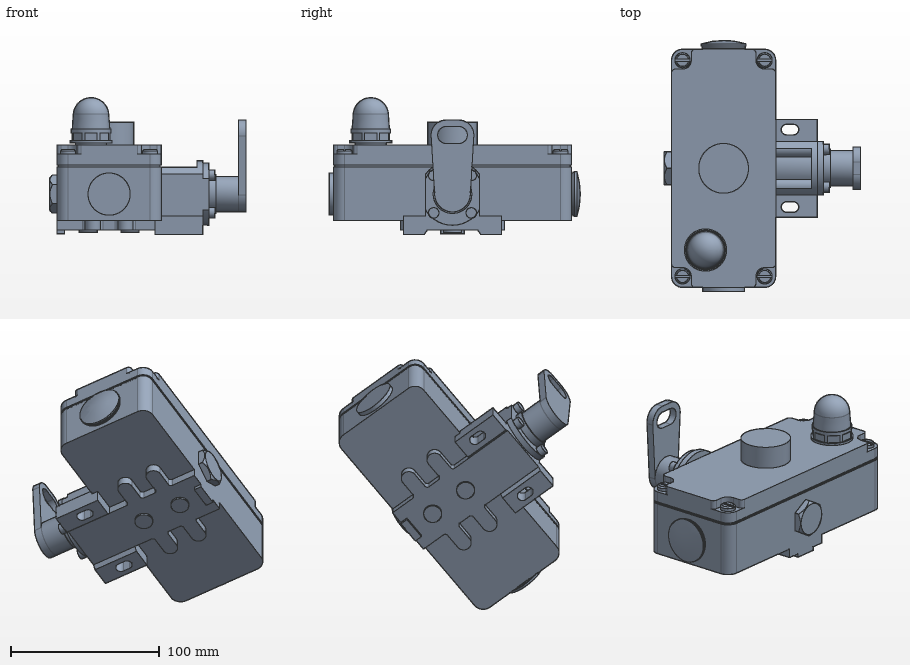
import cadquery as cq
import math

BOX_WIDTH = 70.0
BOX_LENGTH = 160.0
CORNER_RADIUS = 7.5
BASE_TOP = 36.1
LID_BOTTOM = 37.3
LID_TOP = 51.0
SEAM_INSET = 0.8

NOTCH_RADIUS = 5.9
NOTCH_FLOOR = 44.9
NOTCH_MOUTH_RADIUS = 2.7
SCREW_RADIUS = 5.0
SCREW_HEIGHT = 3.0
SCREW_CHAMFER = 1.0
SCREW_SLOT_WIDTH = 1.5
SCREW_SLOT_DEPTH = 1.2

BUTTON_RADIUS = 16.7
BUTTON_HEIGHT = 15.2
LAMP_X, LAMP_Y = -12.2, -54.9
LAMP_STEM_RADIUS, LAMP_STEM_TOP = 10.5, 52.3
LAMP_WASHER_RADIUS, LAMP_WASHER_TOP = 14.2, 53.8
LAMP_RING_RADIUS = 13.3
LAMP_NUT_TOP, LAMP_RING_TOP = 58.9, 61.5
LAMP_NUT_FLATS = 25.3
LENS_FOOT_RADIUS = 12.7
DOME_RADIUS = 12.0
DOME_CENTRE_Z = 70.7

AXIS_Z = 17.9
PLUG_RADIUS = 14.2
PLUG_HEIGHT = 2.9
CAP_NECK_RADIUS, CAP_NECK_HEIGHT = 14.2, 0.8
CAP_SEAL_RADIUS, CAP_SEAL_HEIGHT = 14.7, 2.0
CAP_RIM_RADIUS, CAP_RIM_HEIGHT = 15.2, 3.5
CAP_HEIGHT = 5.9
HEX_FLATS = 22.3
HEX_HEIGHT = 5.0
HEX_CHAMFER = 2.0
HEX_FACE_RADIUS = 10.8

HOUSING_RADIUS = 22.5
HOUSING_HALF_WIDTH = 18.0
HOUSING_END = 63.0
POCKET_END = 58.9
POCKET_HALF_WIDTH = 14.0
POCKET_CORE_RADIUS = 16.0
SCREW_OFFSET = 12.7
SCREW_BOSS_RADIUS = 5.4
FLANGE_RADIUS = 21.0
FLANGE_END = 67.0
FLANGE_SCREW_RADIUS = 3.5
FLANGE_SCREW_END = 71.0
COLLAR_RADIUS = 13.0
COLLAR_END = 71.9
SHAFT_RADIUS = 12.0

LEVER_START = 86.8
LEVER_END = 92.0
LEVER_EYE_Z = 57.5
LEVER_EYE_OFFSET = 4.2
LEVER_CORNER_RADIUS = 10.1
LEVER_SLOT_RADIUS = 5.7

PLATE_HALF_WIDTH = 16.9
PLATE_DEPTH = 6.2
TONGUE_WIDTH = 15.9
TONGUE_LENGTH = 5.2
TONGUE_DEPTH = 8.8
FOOT_X = 11.0
FOOT_RADIUS = 5.0
FOOT_REACH = 35.0
FOOT_FILLET = 1.9
DISC_X = 14.0
DISC_RADIUS = 6.0
DISC_DEPTH = 7.8
BLOCK_START = 30.7
BLOCK_HALF_WIDTH = 32.9
BLOCK_TOP = 3.2
BLOCK_DEPTH = 9.3
CHANNEL_FLARE = 2.0
MOUNT_SLOT_X = 44.5
MOUNT_SLOT_Y = 26.0
MOUNT_SLOT_LENGTH = 11.6
MOUNT_SLOT_WIDTH = 7.0

HALF_BOX_WIDTH = BOX_WIDTH / 2
HALF_BOX_LENGTH = BOX_LENGTH / 2


def block(x_range, y_range, z_range):
    """Axis-aligned box given by its limits."""
    sizes = [high - low for low, high in (x_range, y_range, z_range)]
    corner = (x_range[0], y_range[0], z_range[0])
    return cq.Workplane("XY").box(*sizes, centered=False).translate(corner)


def disc(x, y, radius, bottom, top):
    """Upright cylinder."""
    return cq.Workplane("XY", origin=(x, y, bottom)).circle(radius).extrude(top - bottom)


def axial(radius, start, end, y=0, z=0):
    """Cylinder along X; y and z are measured from the shaft axis."""
    plane = cq.Workplane("YZ", origin=(start, y, AXIS_Z + z))
    return plane.circle(radius).extrude(end - start)


def rounded_box(inset, bottom, top):
    """Slice of the enclosure with its outline moved inwards by an inset."""
    plane = cq.Workplane("XY", origin=(0, 0, bottom))
    outline = plane.rect(BOX_WIDTH - 2 * inset, BOX_LENGTH - 2 * inset)
    return outline.extrude(top - bottom).edges("|Z").fillet(CORNER_RADIUS - inset)


def corner_notch(side_x, side_y):
    """Cut-out around one lid screw, with a rounded corner and flared mouths."""
    reach = CORNER_RADIUS + NOTCH_RADIUS
    mouth = reach + NOTCH_MOUTH_RADIUS
    bulge = NOTCH_MOUTH_RADIUS * math.sqrt(0.5)
    bend = NOTCH_RADIUS * math.sqrt(0.5)
    outline = (
        cq.Workplane("XY")
        .moveTo(0, 0)
        .lineTo(mouth, 0)
        .threePointArc((mouth - bulge, NOTCH_MOUTH_RADIUS - bulge), (reach, NOTCH_MOUTH_RADIUS))
        .lineTo(reach, CORNER_RADIUS)
        .threePointArc((CORNER_RADIUS + bend, CORNER_RADIUS + bend), (CORNER_RADIUS, reach))
        .lineTo(NOTCH_MOUTH_RADIUS, reach)
        .threePointArc((NOTCH_MOUTH_RADIUS - bulge, mouth - bulge), (0, mouth))
        .close()
    )
    notch = outline.extrude(LID_TOP - NOTCH_FLOOR)
    notch = notch.translate((-HALF_BOX_WIDTH, -HALF_BOX_LENGTH, NOTCH_FLOOR))
    if side_x > 0:
        notch = notch.mirror("YZ")
    if side_y > 0:
        notch = notch.mirror("XZ")
    return notch


def lid_screw(side_x, side_y):
    """Chamfered, slotted screw head standing on a notch floor."""
    x = side_x * (HALF_BOX_WIDTH - CORNER_RADIUS)
    y = side_y * (HALF_BOX_LENGTH - CORNER_RADIUS)
    head_top = NOTCH_FLOOR + SCREW_HEIGHT
    head = disc(x, y, SCREW_RADIUS, NOTCH_FLOOR, head_top).faces(">Z").chamfer(SCREW_CHAMFER)
    slot = block(
        (x - SCREW_RADIUS, x + SCREW_RADIUS),
        (y - SCREW_SLOT_WIDTH / 2, y + SCREW_SLOT_WIDTH / 2),
        (head_top - SCREW_SLOT_DEPTH, head_top),
    )
    return head.cut(slot)


def enclosure():
    """Base and lid with a seam groove, four notches and four screws."""
    body = rounded_box(0, 0, BASE_TOP)
    body = body.union(rounded_box(SEAM_INSET, BASE_TOP, LID_BOTTOM))
    body = body.union(rounded_box(0, LID_BOTTOM, LID_TOP))
    for side_x in (-1, 1):
        for side_y in (-1, 1):
            body = body.cut(corner_notch(side_x, side_y))
            body = body.union(lid_screw(side_x, side_y))
    return body


def lamp():
    """Stem, washer, eight-sided nut, ring and a tapered lens ending in a dome."""
    stem = disc(0, 0, LAMP_STEM_RADIUS, LID_TOP, LAMP_STEM_TOP)
    washer = disc(0, 0, LAMP_WASHER_RADIUS, LAMP_STEM_TOP, LAMP_WASHER_TOP)
    ring = disc(0, 0, LAMP_RING_RADIUS, LAMP_NUT_TOP, LAMP_RING_TOP)
    sides = 8
    octagon = cq.Workplane("XY", origin=(0, 0, LAMP_WASHER_TOP)).transformed(rotate=(0, 0, 180 / sides))
    octagon = octagon.polygon(sides, LAMP_NUT_FLATS / math.cos(math.pi / sides))
    nut = octagon.extrude(LAMP_NUT_TOP - LAMP_WASHER_TOP)
    nut = nut.intersect(disc(0, 0, LAMP_RING_RADIUS, LAMP_WASHER_TOP, LAMP_NUT_TOP))

    foot_drop = DOME_CENTRE_Z - LAMP_RING_TOP
    foot_distance = math.hypot(LENS_FOOT_RADIUS, foot_drop)
    tangent_angle = math.acos(DOME_RADIUS / foot_distance) - math.atan2(foot_drop, LENS_FOOT_RADIUS)

    def dome_point(angle):
        return DOME_RADIUS * math.cos(angle), DOME_CENTRE_Z + DOME_RADIUS * math.sin(angle)

    top_angle = math.pi / 2
    lens = (
        cq.Workplane("XZ")
        .moveTo(0, LAMP_RING_TOP)
        .lineTo(LENS_FOOT_RADIUS, LAMP_RING_TOP)
        .lineTo(*dome_point(tangent_angle))
        .threePointArc(dome_point((tangent_angle + top_angle) / 2), dome_point(top_angle))
        .close()
        .revolve(360, (0, 0, 0), (0, 1, 0))
    )
    whole = stem.union(washer).union(nut).union(ring).union(lens)
    return whole.translate((LAMP_X, LAMP_Y, 0))


def front_plug():
    """Flat round plug on the -Y end."""
    plane = cq.Workplane("XZ", origin=(0, -HALF_BOX_LENGTH, AXIS_Z))
    return plane.circle(PLUG_RADIUS).extrude(PLUG_HEIGHT)


def rear_cap():
    """Stepped round cap with a shallow domed face on the +Y end."""
    rise = CAP_HEIGHT - CAP_RIM_HEIGHT
    crown_radius = (CAP_RIM_RADIUS**2 + rise**2) / (2 * rise)
    half_radius = CAP_RIM_RADIUS / 2
    crown_centre = CAP_HEIGHT - crown_radius
    half_height = crown_centre + math.sqrt(crown_radius**2 - half_radius**2)
    profile = (
        cq.Workplane("XY")
        .moveTo(0, 0)
        .lineTo(CAP_NECK_RADIUS, 0)
        .lineTo(CAP_NECK_RADIUS, CAP_NECK_HEIGHT)
        .lineTo(CAP_SEAL_RADIUS, CAP_NECK_HEIGHT)
        .lineTo(CAP_SEAL_RADIUS, CAP_SEAL_HEIGHT)
        .lineTo(CAP_RIM_RADIUS, CAP_SEAL_HEIGHT)
        .lineTo(CAP_RIM_RADIUS, CAP_RIM_HEIGHT)
        .threePointArc((half_radius, half_height), (0, CAP_HEIGHT))
        .close()
    )
    return profile.revolve(360, (0, 0, 0), (0, 1, 0)).translate((0, HALF_BOX_LENGTH, AXIS_Z))


def hex_plug():
    """Hexagonal plug on the -X side, its corners turned to a cone."""
    corner_diameter = HEX_FLATS / math.cos(math.pi / 6)
    outer_face = -HALF_BOX_WIDTH - HEX_HEIGHT
    plane = cq.Workplane("YZ", origin=(outer_face, 0, AXIS_Z)).transformed(rotate=(0, 0, 90))
    hexagon = plane.polygon(6, corner_diameter).extrude(HEX_HEIGHT)
    turned = axial(HEX_FACE_RADIUS + HEX_CHAMFER, outer_face, -HALF_BOX_WIDTH)
    turned = turned.faces("<X").chamfer(HEX_CHAMFER)
    return hexagon.intersect(turned)


def flat_sided(radius, start, end):
    """Cylinder along the shaft axis with its two sides cut flat."""
    sides = block(
        (start, end),
        (-HOUSING_HALF_WIDTH, HOUSING_HALF_WIDTH),
        (AXIS_Z - radius, AXIS_Z + radius),
    )
    return axial(radius, start, end).intersect(sides)


def switch_housing():
    """Housing with a top pocket that exposes the core and two screw bosses."""
    housing = flat_sided(HOUSING_RADIUS, HALF_BOX_WIDTH, HOUSING_END)
    housing = housing.union(
        block(
            (HALF_BOX_WIDTH, HOUSING_END),
            (-HOUSING_HALF_WIDTH, HOUSING_HALF_WIDTH),
            (0, AXIS_Z),
        )
    )
    pocket = block(
        (HALF_BOX_WIDTH, POCKET_END),
        (-POCKET_HALF_WIDTH, POCKET_HALF_WIDTH),
        (AXIS_Z, AXIS_Z + HOUSING_RADIUS),
    )
    pocket = pocket.cut(axial(POCKET_CORE_RADIUS, HALF_BOX_WIDTH, POCKET_END))
    for side in (-1, 1):
        boss_y = side * SCREW_OFFSET
        pocket = pocket.cut(axial(SCREW_BOSS_RADIUS, HALF_BOX_WIDTH, POCKET_END, boss_y, SCREW_OFFSET))
        pocket = pocket.cut(
            block(
                (HALF_BOX_WIDTH, POCKET_END),
                sorted((boss_y, side * POCKET_HALF_WIDTH)),
                (AXIS_Z, AXIS_Z + SCREW_OFFSET),
            )
        )
    return housing.cut(pocket)


def shaft_flange():
    """Flange with four screws, collar and shaft up to the lever."""
    unit = flat_sided(FLANGE_RADIUS, HOUSING_END, FLANGE_END)
    for y in (-SCREW_OFFSET, SCREW_OFFSET):
        for z in (-SCREW_OFFSET, SCREW_OFFSET):
            unit = unit.union(axial(FLANGE_SCREW_RADIUS, FLANGE_END, FLANGE_SCREW_END, y, z))
    unit = unit.union(axial(COLLAR_RADIUS, FLANGE_END, COLLAR_END))
    return unit.union(axial(SHAFT_RADIUS, COLLAR_END, LEVER_START))


def lever():
    """Flat arm with a round foot, flanks widening upwards and a cross slot near the top."""
    eye_rise = LEVER_EYE_Z - AXIS_Z
    spacing = math.hypot(LEVER_EYE_OFFSET, eye_rise)
    normal = math.atan2(eye_rise, LEVER_EYE_OFFSET)
    normal -= math.acos((SHAFT_RADIUS - LEVER_CORNER_RADIUS) / spacing)

    def foot_point(angle):
        return SHAFT_RADIUS * math.cos(angle), AXIS_Z + SHAFT_RADIUS * math.sin(angle)

    def corner_point(angle):
        y = LEVER_EYE_OFFSET + LEVER_CORNER_RADIUS * math.cos(angle)
        return y, LEVER_EYE_Z + LEVER_CORNER_RADIUS * math.sin(angle)

    def mirrored(point):
        return -point[0], point[1]

    upright = math.pi / 2
    middle = corner_point((normal + upright) / 2)
    outline = (
        cq.Workplane("YZ", origin=(LEVER_START, 0, 0))
        .moveTo(*foot_point(normal))
        .lineTo(*corner_point(normal))
        .threePointArc(middle, corner_point(upright))
        .lineTo(*mirrored(corner_point(upright)))
        .threePointArc(mirrored(middle), mirrored(corner_point(normal)))
        .lineTo(*mirrored(foot_point(normal)))
        .threePointArc(foot_point(-upright), foot_point(normal))
        .close()
    )
    thickness = LEVER_END - LEVER_START
    slot = (
        cq.Workplane("YZ", origin=(LEVER_START, 0, LEVER_EYE_Z))
        .slot2D(2 * (LEVER_EYE_OFFSET + LEVER_SLOT_RADIUS), 2 * LEVER_SLOT_RADIUS)
        .extrude(thickness)
    )
    return outline.extrude(thickness).cut(slot)


def mounting_plate():
    """Central plate with four round-ended feet, an end tongue and two discs below."""
    plate = block(
        (-HALF_BOX_WIDTH, BLOCK_START),
        (-PLATE_HALF_WIDTH, PLATE_HALF_WIDTH),
        (-PLATE_DEPTH, 0),
    )
    for x in (-FOOT_X, FOOT_X):
        foot = cq.Workplane("XY", origin=(x, 0, -PLATE_DEPTH))
        plate = plate.union(foot.slot2D(2 * FOOT_REACH, 2 * FOOT_RADIUS, 90).extrude(PLATE_DEPTH))
    root_edges = cq.selectors.BoxSelector(
        (-FOOT_X - 2 * FOOT_RADIUS, -PLATE_HALF_WIDTH - FOOT_FILLET, -PLATE_DEPTH),
        (FOOT_X + 2 * FOOT_RADIUS, PLATE_HALF_WIDTH + FOOT_FILLET, 0),
    )
    plate = plate.edges("|Z").edges(root_edges).fillet(FOOT_FILLET)
    tongue = block(
        (-HALF_BOX_WIDTH, TONGUE_LENGTH - HALF_BOX_WIDTH),
        (-TONGUE_WIDTH / 2, TONGUE_WIDTH / 2),
        (-TONGUE_DEPTH, -PLATE_DEPTH),
    )
    plate = plate.union(tongue)
    for x in (-DISC_X, DISC_X):
        plate = plate.union(disc(x, 0, DISC_RADIUS, -DISC_DEPTH, -PLATE_DEPTH))
    return plate


def mounting_block():
    """Wide block under the housing with a flared bottom channel and two slots."""
    body = block(
        (BLOCK_START, HOUSING_END),
        (-BLOCK_HALF_WIDTH, BLOCK_HALF_WIDTH),
        (-BLOCK_DEPTH, 0),
    )
    ledge = block(
        (HALF_BOX_WIDTH, HOUSING_END),
        (-BLOCK_HALF_WIDTH, BLOCK_HALF_WIDTH),
        (0, BLOCK_TOP),
    )
    mouth = PLATE_HALF_WIDTH + CHANNEL_FLARE
    channel = cq.Workplane("YZ", origin=(BLOCK_START, 0, 0)).polyline(
        [
            (-PLATE_HALF_WIDTH, -PLATE_DEPTH),
            (PLATE_HALF_WIDTH, -PLATE_DEPTH),
            (mouth, -BLOCK_DEPTH),
            (-mouth, -BLOCK_DEPTH),
        ]
    )
    channel = channel.close().extrude(HOUSING_END - BLOCK_START)
    slots = (
        cq.Workplane("XY", origin=(0, 0, -BLOCK_DEPTH))
        .pushPoints([(MOUNT_SLOT_X, -MOUNT_SLOT_Y), (MOUNT_SLOT_X, MOUNT_SLOT_Y)])
        .slot2D(MOUNT_SLOT_LENGTH, MOUNT_SLOT_WIDTH)
        .extrude(BLOCK_DEPTH + BLOCK_TOP)
    )
    return body.union(ledge).cut(channel).cut(slots)


result = enclosure()
result = result.union(disc(0, 0, BUTTON_RADIUS, LID_TOP, LID_TOP + BUTTON_HEIGHT))
result = result.union(lamp())
result = result.union(front_plug())
result = result.union(rear_cap())
result = result.union(hex_plug())
result = result.union(mounting_plate())
result = result.union(mounting_block())
result = result.union(switch_housing())
result = result.union(shaft_flange())
result = result.union(lever())